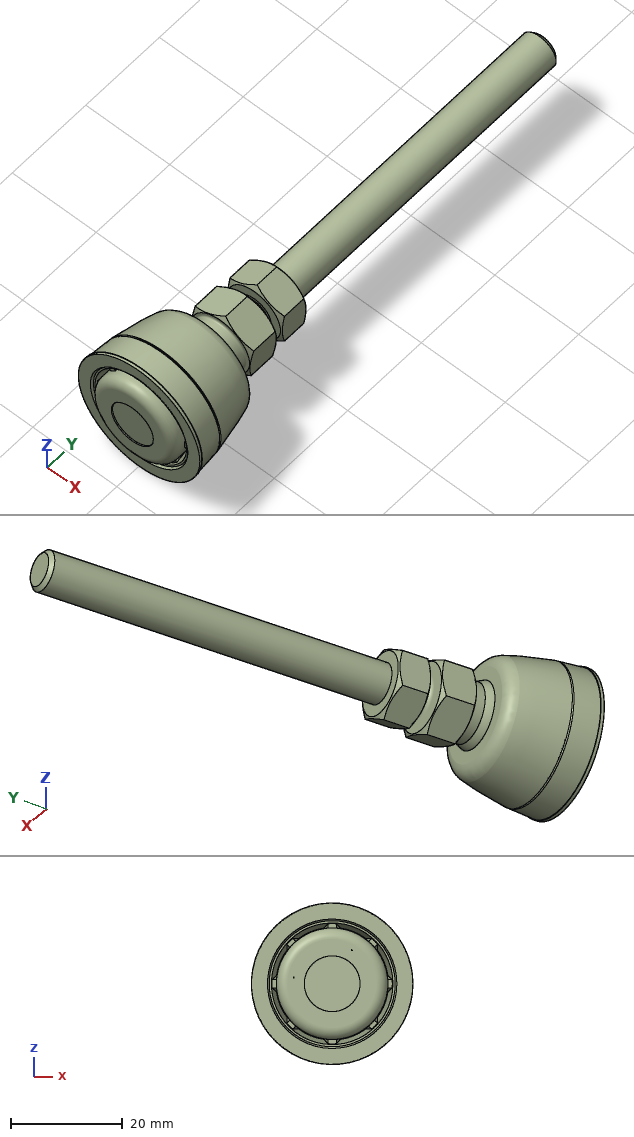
import cadquery as cq
import math


TOTAL_LENGTH = 111.5
BELL_TOP = 20.0
HEX_BOTTOM = 24.0
HEX_HEIGHT = 7.3
NUT_BOTTOM = 33.2
NUT_HEIGHT = 6.8
HEX_TOP = HEX_BOTTOM + HEX_HEIGHT

ROD_RADIUS = 4.0
ROD_TIP_CHAMFER = 0.8
UNDERCUT_RADIUS = 3.35
UNDERCUT_FILLET = 1.0
HEX_WIDTH = 14.0
HEX_TURN = 4.5
HEX_TOP_CIRCLE = 6.8
HEX_BOTTOM_CIRCLE = 6.9
NECK_RADIUS = 5.9
NECK_FILLET = 0.4
BALL_RADIUS = 7.0
BALL_CENTRE = 17.8

NUT_WIDTH = 13.0
NUT_CIRCLE = 6.2
BEVEL_ANGLE = 30.0

SHOULDER_HEIGHT = 8.2
SHOULDER_RADIUS = 13.95
BELL_MID_RADIUS = 13.12
BELL_MID_HEIGHT = 13.0
BELL_TOP_RADIUS = 11.3
BELL_FILLET = 2.8
CORE_RADIUS = 10.0
CORE_FILLET = 2.0
RECESS_RADIUS = 5.0
RECESS_DEPTH = 0.3
SKIRT_BOTTOM = 2.3
SKIRT_RADIUS = 11.3
GROOVE_MOUTH_RADIUS = 10.9
GROOVE_FLOOR_RADIUS = 10.1
GROOVE_TOP = 5.5
RIB_COUNT = 8
RIB_END_WIDTH = 1.5
RIB_ROOT_WIDTH = 2.9
RIB_BOTTOM = 2.8

RING_BOTTOM = 1.8
RING_MOUTH_RADIUS = 11.6
RING_BEVEL = 0.35
LIP_RADIUS = 14.5
LIP_THICKNESS = 0.7
RING_BASE_RADIUS = 14.35
RING_MID_RADIUS = 14.22


def revolve(profile):
    """Turn a closed outline of (radius, height) points around the Y axis."""
    return profile.close().revolve(360, (0, 0, 0), (0, 1, 0))


def cylinder(radius, bottom, top):
    outline = cq.Workplane("XY").moveTo(0, bottom).lineTo(radius, bottom).lineTo(radius, top).lineTo(0, top)
    return revolve(outline)


def hexagon(width, bottom, height, bottom_circle, top_circle, turn=0.0):
    """Hexagon with a corner towards +Z, turned towards +X, with both ends bevelled down to a circle."""
    top = bottom + height
    corner_radius = width / math.sqrt(3)
    slope = math.tan(math.radians(BEVEL_ANGLE))
    corners = []
    for i in range(6):
        angle = math.radians(60 * i + turn)
        corners.append((corner_radius * math.sin(angle), corner_radius * math.cos(angle)))
    prism = cq.Workplane("XZ", origin=(0, top, 0)).polyline(corners).close().extrude(height)
    bevels = revolve(
        cq.Workplane("XY")
        .moveTo(0, bottom)
        .lineTo(bottom_circle, bottom)
        .lineTo(corner_radius, bottom + (corner_radius - bottom_circle) * slope)
        .lineTo(corner_radius, top - (corner_radius - top_circle) * slope)
        .lineTo(top_circle, top)
        .lineTo(0, top)
    )
    return prism.intersect(bevels)


def make_stud():
    ball_neck_height = BALL_CENTRE + math.sqrt(BALL_RADIUS**2 - NECK_RADIUS**2)
    fillet_mid = 1 - math.sqrt(0.5)
    lower = revolve(
        cq.Workplane("XY")
        .moveTo(0, BALL_CENTRE - BALL_RADIUS)
        .threePointArc((BALL_RADIUS, BALL_CENTRE), (NECK_RADIUS, ball_neck_height))
        .lineTo(NECK_RADIUS, HEX_BOTTOM - NECK_FILLET)
        .threePointArc(
            (NECK_RADIUS + NECK_FILLET * fillet_mid, HEX_BOTTOM - NECK_FILLET * fillet_mid),
            (NECK_RADIUS + NECK_FILLET, HEX_BOTTOM),
        )
        .lineTo(0, HEX_BOTTOM)
    )
    upper = revolve(
        cq.Workplane("XY")
        .moveTo(0, HEX_TOP)
        .lineTo(UNDERCUT_RADIUS + UNDERCUT_FILLET, HEX_TOP)
        .threePointArc(
            (UNDERCUT_RADIUS + UNDERCUT_FILLET * fillet_mid, HEX_TOP + UNDERCUT_FILLET * fillet_mid),
            (UNDERCUT_RADIUS, HEX_TOP + UNDERCUT_FILLET),
        )
        .lineTo(UNDERCUT_RADIUS, NUT_BOTTOM)
        .lineTo(ROD_RADIUS, NUT_BOTTOM)
        .lineTo(ROD_RADIUS, TOTAL_LENGTH - ROD_TIP_CHAMFER)
        .lineTo(ROD_RADIUS - ROD_TIP_CHAMFER, TOTAL_LENGTH)
        .lineTo(0, TOTAL_LENGTH)
    )
    spanner_hex = hexagon(HEX_WIDTH, HEX_BOTTOM, HEX_HEIGHT, HEX_BOTTOM_CIRCLE, HEX_TOP_CIRCLE, HEX_TURN)
    return lower.union(spanner_hex).union(upper)


def make_nut():
    blank = hexagon(NUT_WIDTH, NUT_BOTTOM, NUT_HEIGHT, NUT_CIRCLE, NUT_CIRCLE)
    return blank.cut(cylinder(ROD_RADIUS, NUT_BOTTOM, NUT_BOTTOM + NUT_HEIGHT))


def make_foot():
    bell = revolve(
        cq.Workplane("XY")
        .moveTo(0, SKIRT_BOTTOM)
        .lineTo(SKIRT_RADIUS, SKIRT_BOTTOM)
        .lineTo(SKIRT_RADIUS, SHOULDER_HEIGHT)
        .lineTo(SHOULDER_RADIUS, SHOULDER_HEIGHT)
        .threePointArc((BELL_MID_RADIUS, BELL_MID_HEIGHT), (BELL_TOP_RADIUS, BELL_TOP))
        .lineTo(0, BELL_TOP)
    )
    bell = bell.faces(">Y").edges().fillet(BELL_FILLET)
    groove = revolve(
        cq.Workplane("XY")
        .moveTo(0, SKIRT_BOTTOM)
        .lineTo(GROOVE_MOUTH_RADIUS, SKIRT_BOTTOM)
        .lineTo(GROOVE_FLOOR_RADIUS, GROOVE_TOP)
        .lineTo(0, GROOVE_TOP)
    )
    core = cylinder(CORE_RADIUS, 0, GROOVE_TOP).faces("<Y").edges().fillet(CORE_FILLET)
    foot = bell.cut(groove).union(core)
    foot = foot.cut(cylinder(RECESS_RADIUS, 0, RECESS_DEPTH))

    rib_inner = CORE_RADIUS - CORE_FILLET
    rib_outer = (GROOVE_MOUTH_RADIUS + SKIRT_RADIUS) / 2
    rib = (
        cq.Workplane("YZ", origin=(rib_inner, 0, 0))
        .moveTo(RIB_BOTTOM, -RIB_END_WIDTH / 2)
        .lineTo(RIB_BOTTOM, RIB_END_WIDTH / 2)
        .lineTo(GROOVE_TOP, RIB_ROOT_WIDTH / 2)
        .lineTo(GROOVE_TOP, -RIB_ROOT_WIDTH / 2)
        .close()
        .extrude(rib_outer - rib_inner)
    )
    for i in range(RIB_COUNT):
        foot = foot.union(rib.rotate((0, 0, 0), (0, 1, 0), i * 360 / RIB_COUNT))

    return foot.cut(cq.Workplane("XY").sphere(BALL_RADIUS).translate((0, BALL_CENTRE, 0)))


def make_ring():
    lip_top = RING_BOTTOM + LIP_THICKNESS
    side_top = SHOULDER_HEIGHT - RING_BEVEL
    side_middle = (lip_top + side_top) / 2
    return revolve(
        cq.Workplane("XY")
        .moveTo(RING_MOUTH_RADIUS, RING_BOTTOM)
        .lineTo(LIP_RADIUS, RING_BOTTOM)
        .lineTo(LIP_RADIUS, lip_top)
        .lineTo(RING_BASE_RADIUS, lip_top)
        .threePointArc((RING_MID_RADIUS, side_middle), (SHOULDER_RADIUS, side_top))
        .lineTo(SHOULDER_RADIUS - RING_BEVEL, SHOULDER_HEIGHT)
        .lineTo(SKIRT_RADIUS, SHOULDER_HEIGHT)
        .lineTo(SKIRT_RADIUS, SKIRT_BOTTOM)
    )


stud = make_stud().solids()
nut = make_nut().solids()
foot = make_foot().solids()
ring = make_ring().solids()

result = cq.Compound.makeCompound([stud.val(), nut.val(), foot.val(), ring.val()])